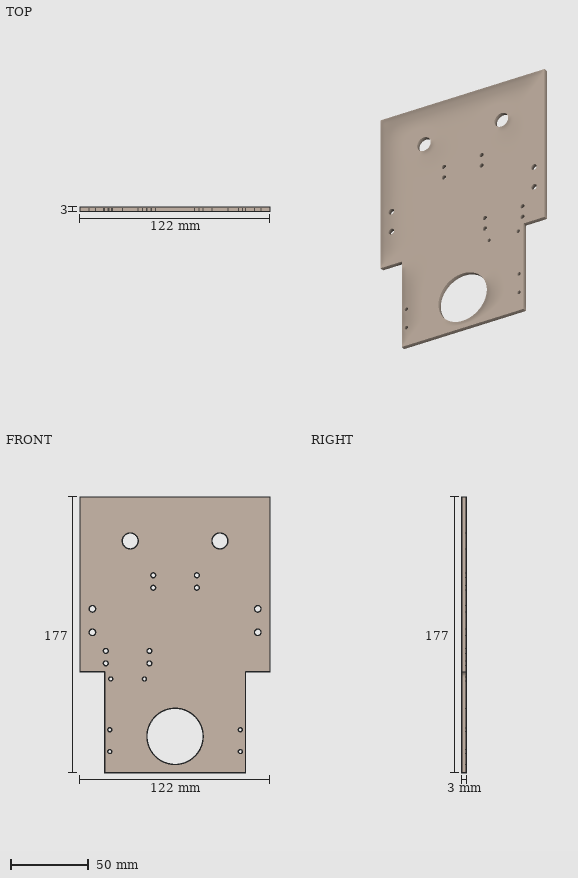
import cadquery as cq

height = 177.0
thickness = 3.0
upper_width = 122.0
lower_width = 90.5
shoulder_height = 64.8

opening_diameter = 36.0
opening_height = 23.4

top_hole_diameter = 10.1
top_hole_spacing = 57.5
top_hole_height = 148.7

edge_hole_diameter = 4.0
edge_hole_spacing = 106.0
edge_hole_heights = (90.1, 105.1)

mount_hole_diameter = 3.0
mount_spacing_x = 28.0
mount_spacing_z = 8.0
upper_mount_center = (0.0, 122.7)
lower_mount_center = (-30.5, 74.2)

small_hole_diameter = 2.5
small_pair_spacing = 21.6
small_pair_height = 60.2
side_hole_spacing = 83.7
side_hole_heights = (13.6, 27.6)


def panel(width, bottom, top):
    """Flat panel centred on X and Y, between two heights."""
    return cq.Workplane("XY").box(width, thickness, top - bottom).translate((0, 0, (bottom + top) / 2))


def pair(spacing, z, center_x=0.0):
    """Two points at the same height, either side of center_x."""
    return [(center_x - spacing / 2, z), (center_x + spacing / 2, z)]


def mount_pattern(center):
    """Four corner points of a mounting rectangle."""
    x, z = center
    lower_row = pair(mount_spacing_x, z - mount_spacing_z / 2, x)
    upper_row = pair(mount_spacing_x, z + mount_spacing_z / 2, x)
    return lower_row + upper_row


def drill(plate, points, diameter):
    """Cut round holes through the full thickness at (x, z) points."""
    cutters = (
        cq.Workplane("XZ", origin=(0, thickness / 2, 0))
        .pushPoints(points)
        .circle(diameter / 2)
        .extrude(thickness)
    )
    return plate.cut(cutters)


plate = panel(upper_width, shoulder_height, height).union(panel(lower_width, 0.0, shoulder_height))

plate = drill(plate, [(0.0, opening_height)], opening_diameter)
plate = drill(plate, pair(top_hole_spacing, top_hole_height), top_hole_diameter)

for z in edge_hole_heights:
    plate = drill(plate, pair(edge_hole_spacing, z), edge_hole_diameter)

for center in (upper_mount_center, lower_mount_center):
    plate = drill(plate, mount_pattern(center), mount_hole_diameter)

lower_mount_x = lower_mount_center[0]
plate = drill(plate, pair(small_pair_spacing, small_pair_height, lower_mount_x), small_hole_diameter)
for z in side_hole_heights:
    plate = drill(plate, pair(side_hole_spacing, z), small_hole_diameter)

result = plate